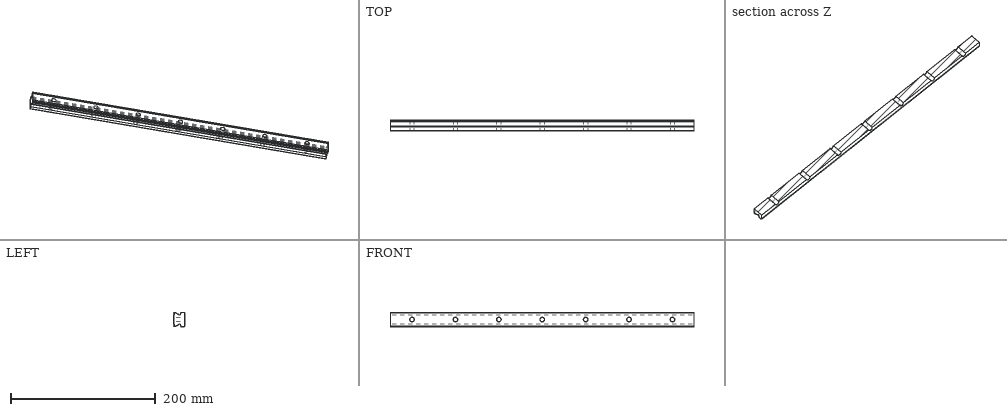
import cadquery as cq

length = 420.0
height = 15.5
width = 20.0

base_chamfer = 1.2
head_chamfer = 0.6

head_width = 19.2

flank_lip = 5.4
floor_start = 6.5
floor_end = 7.35
slope_bend = 11.75
head_lip = 13.1
floor_half_width = 6.35
slope_bend_half_width = 8.95

race_offset = 7.6
race_radius = 1.3
race_depth = 0.8

hole_diameter = 6.0
hole_pitch = 60.0
hole_count = 7


def half_section():
    """Points (y, z) of the +Z half of the rail section, from base to head."""
    base = -height / 2
    head = height / 2
    return [
        (base, width / 2 - base_chamfer),
        (base + base_chamfer, width / 2),
        (base + flank_lip, width / 2),
        (base + floor_start, floor_half_width),
        (base + floor_end, floor_half_width),
        (base + slope_bend, slope_bend_half_width),
        (base + head_lip, head_width / 2),
        (head - head_chamfer, head_width / 2),
        (head, head_width / 2 - head_chamfer),
    ]


def rail_body():
    upper = half_section()
    lower = [(y, -z) for y, z in reversed(upper)]
    return (
        cq.Workplane("YZ")
        .polyline(upper + lower)
        .close()
        .extrude(length / 2, both=True)
    )


def ball_races():
    race_axis_y = height / 2 - race_depth + race_radius
    return (
        cq.Workplane("YZ")
        .pushPoints([(race_axis_y, -race_offset), (race_axis_y, race_offset)])
        .circle(race_radius)
        .extrude(length / 2, both=True)
    )


def mounting_holes():
    return (
        cq.Workplane("XZ")
        .rarray(hole_pitch, 1, hole_count, 1)
        .circle(hole_diameter / 2)
        .extrude(height, both=True)
    )


result = rail_body().cut(ball_races()).cut(mounting_holes())